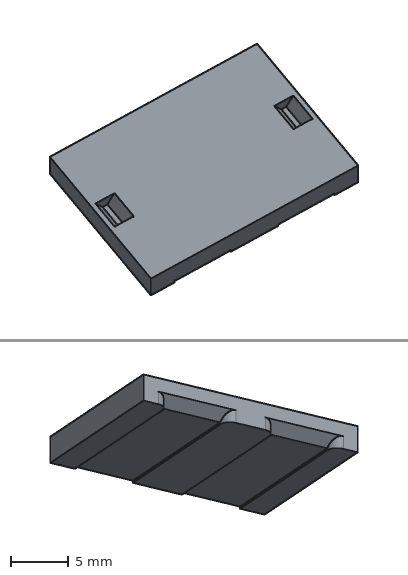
import cadquery as cq
import math

plate_x = 15.8
plate_y = 21.8
plate_z = 2.5

edge_leg = 1.5
middle_leg = 3.0
channel_height = 0.2
mouth_height = 1.2
mouth_radius = 1.0
mouth_width = (plate_y - 2 * edge_leg - middle_leg) / 2
channel_width = mouth_width - 2 * mouth_radius
channel_offset = (middle_leg + mouth_width) / 2
ramp_run = mouth_height - channel_height

recess_x = 3.0
recess_y = 2.0
recess_edge_gap = 0.5
recess_depth = 1.1
recess_floor_y = 0.5
recess_offset = plate_y / 2 - recess_edge_gap - recess_y / 2

edge_x = -plate_x / 2


def channel_plan(center_y):
    """Channel outline in plan with rounded mouth corners, as a prism of full plate height."""
    half_mouth = mouth_width / 2
    half_channel = channel_width / 2
    throat_x = edge_x + mouth_radius
    arc_inset = mouth_radius * (1 - math.sqrt(0.5))
    plan = (
        cq.Workplane("XY")
        .moveTo(edge_x, -half_mouth)
        .threePointArc((edge_x + arc_inset, -half_channel - arc_inset), (throat_x, -half_channel))
        .lineTo(plate_x / 2, -half_channel)
        .lineTo(plate_x / 2, half_channel)
        .lineTo(throat_x, half_channel)
        .threePointArc((edge_x + arc_inset, half_channel + arc_inset), (edge_x, half_mouth))
        .close()
        .extrude(plate_z)
    )
    return plan.translate((0, center_y, 0))


def channel_profile():
    """Channel height along X: a ramp down from the mouth, then a shallow level roof."""
    return (
        cq.Workplane("XZ")
        .moveTo(edge_x, 0)
        .lineTo(plate_x / 2, 0)
        .lineTo(plate_x / 2, channel_height)
        .lineTo(edge_x + ramp_run, channel_height)
        .lineTo(edge_x, mouth_height)
        .close()
        .extrude(plate_y / 2, both=True)
    )


def recess(center_y):
    """Trough with upright X ends and sloping Y sides above a narrow flat floor."""
    floor_z = plate_z - recess_depth
    trough = (
        cq.Workplane("YZ")
        .moveTo(-recess_y / 2, plate_z)
        .lineTo(-recess_floor_y / 2, floor_z)
        .lineTo(recess_floor_y / 2, floor_z)
        .lineTo(recess_y / 2, plate_z)
        .close()
        .extrude(recess_x / 2, both=True)
    )
    return trough.translate((0, center_y, 0))


result = cq.Workplane("XY").box(plate_x, plate_y, plate_z, centered=(True, True, False))
for side in (-1, 1):
    channel = channel_plan(side * channel_offset).intersect(channel_profile())
    result = result.cut(channel)
    result = result.cut(recess(side * recess_offset))